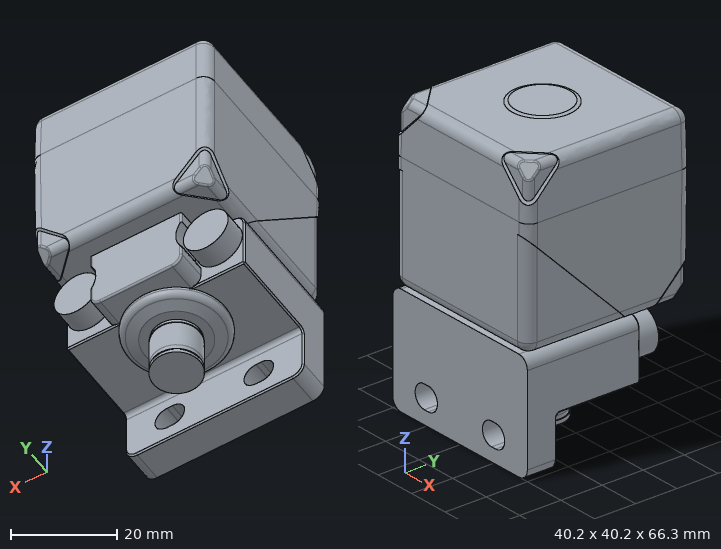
import cadquery as cq
import math

width = 40.15
depth = 40.15
height = 66.35
front_y = -depth / 2

lens_height = 0.25
head_top = height - lens_height
head_bottom = 26.0
seam_z = 53.9
head_round = 2.5
draft_inset = 0.2

wedge_round = 2.6
wedge_inset = 0.3
wedge_top = 51.1

corner_size = 9.9
corner_recess = 0.65
corner_end_recess = 0.2
corner_round = 1.6
facet_size = 5.6
facet_round = 0.6

lens_base_radius = 7.3
lens_top_radius = 6.5

plate_thickness = 7.2
foot_round = 2.5
foot_rear_y = 7.35
block_bottom = 12.1
foot_inner_round = 1.0
foot_edge_chamfer = 0.3

slot_length = 6.65
slot_height = 5.45
slot_spacing = 20.05
slot_z = 6.0

housing_half_width = 10.3
housing_rear_y = 14.1
housing_round = 2.2
housing_rear_round = 0.4
boss_radius = 5.05
boss_x = 14.6
boss_z = 20.0
boss_rear_y = 12.3
boss_clearance = 0.5

flange_radius = 10.9
flange_rim_z = 11.5
flange_rim_round = 1.2
flange_dome_z = 10.1
flange_bottom = 9.4
flange_flat_radius = 7.2
plug_radius = 5.25
neck_radius = 5.1
neck_bottom = 8.55
groove_top = 2.05
groove_bottom = 1.0
groove_depth = 0.2


def head_half(end_z, front_inset):
    """Half of the head, from the seam to a rounded end face; its front leans in by front_inset."""
    half = (
        cq.Workplane("XY", origin=(0, 0, seam_z))
        .rect(width, depth)
        .workplane(offset=end_z - seam_z)
        .center(0, (front_inset - draft_inset) / 2)
        .rect(width - 2 * draft_inset, depth - draft_inset - front_inset)
        .loft(ruled=True)
    )
    seam_edges = "<Z" if end_z > seam_z else ">Z"
    return half.edges(f"not({seam_edges})").fillet(head_round)


def corner_core():
    """Smaller rounded block inside the head, exposed at the recessed corners."""
    core_height = head_top - head_bottom - 2 * corner_end_recess
    return (
        cq.Workplane("XY")
        .box(width - 2 * corner_recess, depth - 2 * corner_recess, core_height)
        .edges()
        .fillet(corner_round)
        .translate((0, 0, (head_top + head_bottom) / 2))
    )


def front_wedge_space():
    """Space below the 45 degree plane across the lower front of the head."""
    drop = wedge_top - head_bottom
    return (
        cq.Workplane("YZ")
        .polyline([(front_y, wedge_top), (front_y, head_bottom), (front_y + drop, head_bottom)])
        .close()
        .extrude(width / 2, both=True)
    )


def front_wedge():
    """Upright-walled lower front of the head."""
    wedge_half_width = width / 2 - wedge_inset
    block = (
        cq.Workplane("XY", origin=(0, 0, head_bottom))
        .rect(2 * wedge_half_width, depth)
        .extrude(seam_z - head_bottom)
        .edges("|Z")
        .fillet(wedge_round)
        .faces("<Z")
        .edges()
        .fillet(head_round)
    )
    return block.intersect(front_wedge_space())


def facing_inward(corner):
    """Signs of the three directions that lead from a head corner into the head."""
    x, y, z = corner
    return -math.copysign(1, x), -math.copysign(1, y), math.copysign(1, seam_z - z)


def corner_tetrahedron(corner, size):
    """Tetrahedron at a head corner that reaches size along each of its three cube edges."""
    tip = cq.Vector(*corner)
    sign_x, sign_y, sign_z = facing_inward(corner)
    along_x = tip + cq.Vector(sign_x * size, 0, 0)
    along_y = tip + cq.Vector(0, sign_y * size, 0)
    along_z = tip + cq.Vector(0, 0, sign_z * size)
    triangles = [
        (tip, along_x, along_y),
        (tip, along_y, along_z),
        (tip, along_z, along_x),
        (along_x, along_y, along_z),
    ]
    faces = [cq.Face.makeFromWires(cq.Wire.makePolygon(points, close=True)) for points in triangles]
    solid = cq.Solid.makeSolid(cq.Shell.makeShell(faces))
    return cq.Workplane(solid.fix())


def recess_corner(head, corner):
    """Sink one corner of the head behind a triangular step and cut a facet on its tip."""
    facet_centre = tuple(c + sign * facet_size / 3 for c, sign in zip(corner, facing_inward(corner)))
    core = corner_core().cut(corner_tetrahedron(corner, facet_size))
    core = core.faces(cq.selectors.NearestToPointSelector(facet_centre)).edges().fillet(facet_round)
    space = corner_tetrahedron(corner, corner_size)
    return head.cut(space).union(core.intersect(space))


def sensor_head():
    head = head_half(head_top, draft_inset).union(head_half(head_bottom, 0))
    head = head.cut(front_wedge_space()).union(front_wedge())
    for side in (-1, 1):
        head = recess_corner(head, (side * width / 2, front_y, head_top))
        head = recess_corner(head, (side * width / 2, -front_y, head_bottom))
    return head


def lens_pad():
    """Low round pad with a bevelled rim, centred on the top of the head."""
    profile = [
        (0, head_top - lens_height),
        (lens_base_radius, head_top - lens_height),
        (lens_base_radius, head_top),
        (lens_top_radius, height),
        (0, height),
    ]
    return cq.Workplane("XZ").polyline(profile).close().revolve(360, (0, 0, 0), (0, 1, 0))


def mounting_foot():
    """Upright front plate with a thick block running rearward under the head, and two slots."""
    plate_rear_y = front_y + plate_thickness
    foot = (
        cq.Workplane("XY", origin=(0, front_y, 0))
        .box(width, foot_rear_y - front_y, head_bottom, centered=(True, False, False))
        .edges("|Y")
        .fillet(foot_round)
    )
    space_under_block = cq.Workplane("XY", origin=(0, plate_rear_y, 0)).box(
        width, foot_rear_y - plate_rear_y, block_bottom, centered=(True, False, False)
    )
    inner_corner = cq.selectors.NearestToPointSelector((0, plate_rear_y, block_bottom))
    foot = foot.cut(space_under_block).edges(inner_corner).fillet(foot_inner_round)
    block_underside = cq.selectors.NearestToPointSelector((0, foot_rear_y - plate_thickness, block_bottom))
    foot = foot.faces(block_underside).edges().chamfer(foot_edge_chamfer)
    foot = foot.faces(">Y").edges("|Z").chamfer(foot_edge_chamfer)
    slots = (
        cq.Workplane("XZ", origin=(0, front_y, slot_z))
        .rarray(slot_spacing, 0.65, 2, 1)
        .slot2D(slot_length, slot_height)
        .extrude(-plate_thickness)
    )
    return foot.cut(slots)


def rear_housing():
    """Narrow housing behind the foot, with a round boss on each side in a matching hollow."""
    housing_depth = housing_rear_y - foot_rear_y
    housing_height = head_bottom - block_bottom
    housing = (
        cq.Workplane("XY", origin=(0, foot_rear_y, block_bottom))
        .box(2 * housing_half_width, housing_depth, housing_height, centered=(True, False, False))
        .edges("|Y and <Z")
        .fillet(housing_round)
        .faces(">Y")
        .edges("not(>Z)")
        .fillet(housing_rear_round)
    )
    boss_centres = [(-boss_x, boss_z), (boss_x, boss_z)]
    rear_face = cq.Workplane("XZ", origin=(0, foot_rear_y, 0)).pushPoints(boss_centres)
    hollows = rear_face.circle(boss_radius + boss_clearance).extrude(-housing_depth)
    bosses = rear_face.circle(boss_radius).extrude(foot_rear_y - boss_rear_y)
    return housing.cut(hollows).union(bosses)


def connector():
    """Domed flange and round plug with a shallow tapered groove, hanging below the foot block."""
    return (
        cq.Workplane("XZ")
        .moveTo(0, block_bottom)
        .lineTo(flange_radius, block_bottom)
        .lineTo(flange_radius, flange_rim_z)
        .tangentArcPoint((flange_radius - flange_rim_round, flange_dome_z), relative=False)
        .lineTo(flange_flat_radius, flange_bottom)
        .lineTo(neck_radius, flange_bottom)
        .lineTo(neck_radius, neck_bottom)
        .lineTo(plug_radius, neck_bottom)
        .lineTo(plug_radius, groove_top)
        .lineTo(plug_radius - groove_depth, groove_bottom)
        .lineTo(plug_radius, groove_bottom)
        .lineTo(plug_radius, 0)
        .lineTo(0, 0)
        .close()
        .revolve(360, (0, 0, 0), (0, 1, 0))
    )


result = sensor_head().union(lens_pad()).union(mounting_foot()).union(rear_housing()).union(connector())